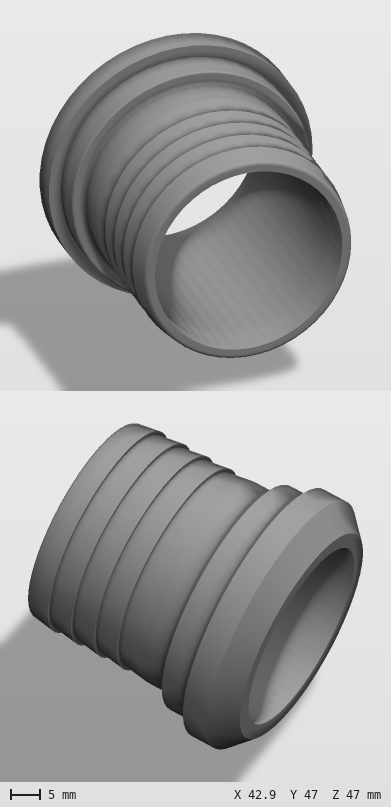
import cadquery as cq

total_length = 42.85
bore_diameter = 33.35

head_diameter = 46.95
head_end = 8.75
head_chamfer = 4.05

collar_diameter = 42.6
collar_end = 14.4
collar_edge_radius = 0.35

shank_diameter = 38.1
shank_root_radius = 0.6
barbs_start = 20.0
barb_count = 5
barb_depth = 0.7
tip_radius = 0.65

head_radius = head_diameter / 2
collar_radius = collar_diameter / 2
shank_radius = shank_diameter / 2
barb_root_radius = shank_radius - barb_depth
barb_pitch = (total_length - barbs_start) / barb_count


def add_head(profile):
    """Front face, 45 degree chamfer, rim and the step down to the collar."""
    return (
        profile.lineTo(0, head_radius - head_chamfer)
        .lineTo(head_chamfer, head_radius)
        .lineTo(head_end, head_radius)
        .lineTo(head_end, collar_radius)
    )


def add_collar(profile):
    """Collar with a rounded outer edge and a rounded corner where it meets the shank."""
    return (
        profile.lineTo(collar_end - collar_edge_radius, collar_radius)
        .tangentArcPoint((collar_end, collar_radius - collar_edge_radius), relative=False)
        .lineTo(collar_end, shank_radius + shank_root_radius)
        .tangentArcPoint((collar_end + shank_root_radius, shank_radius), relative=False)
    )


def add_shank(profile):
    """Plain stretch, then barbs that each narrow toward +X and step back out."""
    for index in range(barb_count):
        barb_start = barbs_start + index * barb_pitch
        profile = profile.lineTo(barb_start, shank_radius)
        profile = profile.lineTo(barb_start + barb_pitch, barb_root_radius)
    return profile.lineTo(total_length, 0)


half_section = add_shank(add_collar(add_head(cq.Workplane("XY").moveTo(0, 0)))).close()
body = half_section.revolve(360, (0, 0, 0), (1, 0, 0))

body = body.faces(">X").edges("%CIRCLE").fillet(tip_radius)

bore = cq.Workplane("YZ").circle(bore_diameter / 2).extrude(total_length)
result = body.cut(bore)